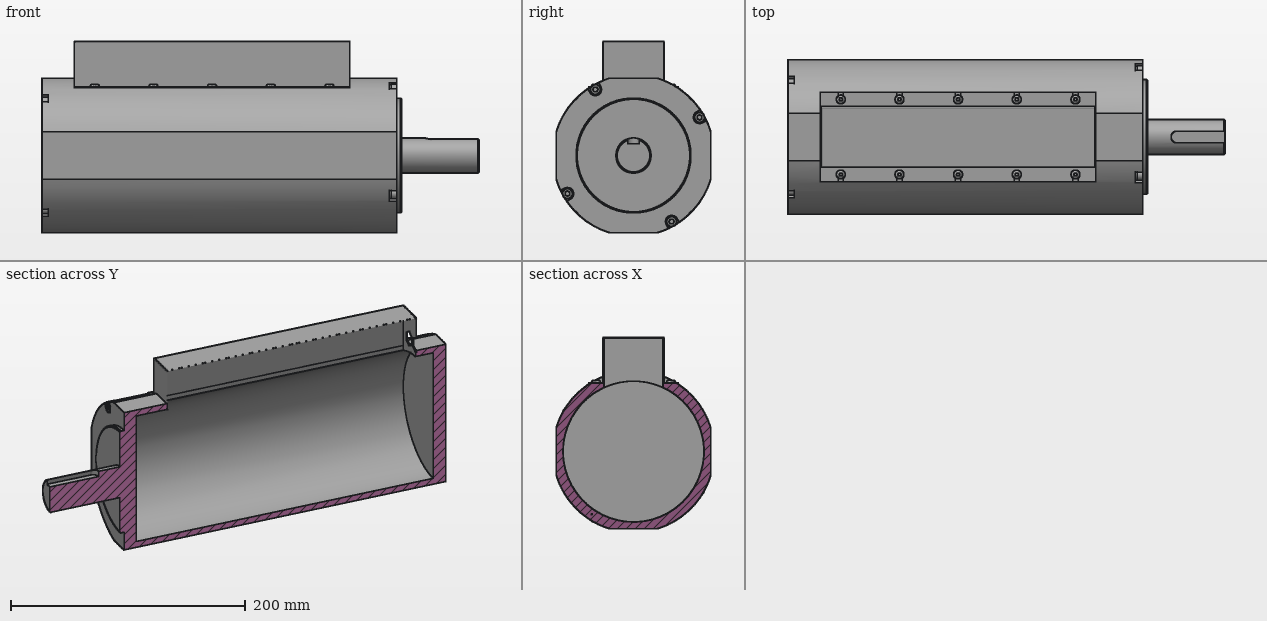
import cadquery as cq
import math

body_length = 302.5
body_radius = 69.0
flat_distance = 66.0
bore_radius = 60.0
end_wall = 12.0

spigot_diameter = 98.0
spigot_length = 4.0
spigot_chamfer = 1.0
shaft_diameter = 30.0
shaft_length = 70.0
shaft_chamfer = 1.0
key_width = 10.0
key_depth = 5.0
key_length = 46.0

box_start = 27.5
box_length = 235.0
box_center = box_start + box_length / 2
box_width = 52.0
box_height = 40.0
box_fillet = 1.2
flange_width = 76.0
sheet_thickness = 1.0
seat_level = math.sqrt(body_radius**2 - (flange_width / 2) ** 2)

cable_hole_flats = 12.0
cable_hole_pitch = 13.0
cable_hole_level = 71.2
cable_hole_count = 3

flange_screw_count = 5
flange_screw_pitch = 50.0
flange_screw_offset = (box_width + flange_width) / 4
flange_slot_width = 4.5
button_diameter = 7.6
button_height = 2.2
button_top_diameter = 4.0
button_shoulder_diameter = 6.9
button_shoulder_height = 1.4
button_socket = 2.5
button_socket_depth = 1.3
flange_screw_shank_diameter = 4.0

screw_circle_radius = 65.0
rear_screw_angle = 45.0
front_screw_angle = 30.0
screws_per_end = 4
rear_screw = dict(
    pocket_width=8.5,
    head_diameter=7.0,
    head_height=4.0,
    washer_diameter=7.0,
    washer_thickness=1.2,
    socket=3.0,
)
front_screw = dict(
    pocket_width=10.5,
    head_diameter=8.5,
    head_height=5.0,
    washer_diameter=8.38,
    washer_thickness=1.6,
    socket=4.0,
)

HEX_CORNER_RATIO = 2 / math.sqrt(3)


def make_body():
    cylinder = cq.Workplane("YZ").circle(body_radius).extrude(body_length)
    flats = cq.Workplane("YZ").rect(2 * flat_distance, 2 * flat_distance).extrude(body_length)
    return cylinder.intersect(flats)


def make_shaft():
    spigot = (
        cq.Workplane("YZ", origin=(body_length, 0, 0))
        .circle(spigot_diameter / 2)
        .extrude(spigot_length)
        .faces(">X")
        .chamfer(spigot_chamfer)
    )
    shaft = (
        cq.Workplane("YZ", origin=(body_length, 0, 0))
        .circle(shaft_diameter / 2)
        .extrude(shaft_length)
        .faces(">X")
        .chamfer(shaft_chamfer)
    )
    slot_length = key_length + key_width
    slot_center = body_length + shaft_length - key_length + slot_length / 2
    keyway = (
        cq.Workplane("XY", origin=(slot_center, 0, shaft_diameter / 2 - key_depth))
        .slot2D(slot_length, key_width)
        .extrude(shaft_diameter)
    )
    return spigot.union(shaft.cut(keyway))


def make_seat_cut():
    foot = cq.Workplane("XY", origin=(box_center, 0, seat_level))
    return foot.rect(box_length, flange_width).extrude(body_radius)


def make_bore():
    return cq.Workplane("YZ", origin=(end_wall, 0, 0)).circle(bore_radius).extrude(body_length - 2 * end_wall)


def make_box_cavity():
    """Inside of the box, continued down through the body wall into the bore."""
    inner_length = box_length - 2 * sheet_thickness
    inner_width = box_width - 2 * sheet_thickness
    inner_top = seat_level + box_height - sheet_thickness
    axis_plane = cq.Workplane("XY", origin=(box_center, 0, 0))
    return axis_plane.rect(inner_length, inner_width).extrude(inner_top)


def make_terminal_box():
    foot = cq.Workplane("XY", origin=(box_center, 0, seat_level))
    flange = foot.rect(box_length, flange_width).extrude(sheet_thickness)
    for side in (-1, 1):
        slot_length = flange_width / 2
        slot_y = side * (flange_screw_offset - flange_slot_width / 2 + slot_length / 2)
        slots = (
            foot.center(0, slot_y)
            .rarray(flange_screw_pitch, 1, flange_screw_count, 1)
            .slot2D(slot_length, flange_slot_width, 90)
            .extrude(sheet_thickness)
        )
        flange = flange.cut(slots)
    box = foot.rect(box_length, box_width).extrude(box_height).edges(">Z").fillet(box_fillet)
    cable_holes = (
        cq.Workplane("YZ", origin=(box_start, 0, cable_hole_level))
        .transformed(rotate=(0, 0, 90))
        .rarray(1, cable_hole_pitch, 1, cable_hole_count)
        .polygon(6, cable_hole_flats * HEX_CORNER_RATIO)
        .extrude(sheet_thickness)
    )
    return flange.union(box.cut(cable_holes))


def make_flange_screw():
    """Button-head screw standing on z = 0, the seat level."""
    base = sheet_thickness
    top = base + button_height
    profile = (
        cq.Workplane("XZ")
        .lineTo(flange_screw_shank_diameter / 2, 0)
        .lineTo(flange_screw_shank_diameter / 2, base)
        .lineTo(button_diameter / 2, base)
        .threePointArc(
            (button_shoulder_diameter / 2, base + button_shoulder_height),
            (button_top_diameter / 2, top),
        )
        .lineTo(0, top)
        .close()
    )
    screw = profile.revolve(360, (0, 0, 0), (0, 1, 0))
    socket = (
        cq.Workplane("XY", origin=(0, 0, top))
        .polygon(6, button_socket * HEX_CORNER_RATIO)
        .extrude(-button_socket_depth)
    )
    return screw.cut(socket)


def add_flange_screws(part):
    screw = make_flange_screw()
    middle = (flange_screw_count - 1) / 2
    for index in range(flange_screw_count):
        x = box_center + (index - middle) * flange_screw_pitch
        for y in (-flange_screw_offset, flange_screw_offset):
            part = part.union(screw.translate((x, y, seat_level)))
    return part


def make_end_screw(pocket_width, head_diameter, head_height, washer_diameter, washer_thickness, socket):
    """Pocket and screw on the +Y side of the screw circle, sunk from x = 0 towards +X."""
    depth = head_height + washer_thickness
    center = cq.Workplane("YZ", origin=(0, screw_circle_radius, 0))
    slot_length = body_radius
    pocket = (
        center.center((slot_length - pocket_width) / 2, 0)
        .slot2D(slot_length, pocket_width)
        .extrude(depth)
    )
    head = center.circle(head_diameter / 2).extrude(head_height)
    socket_cut = center.polygon(6, socket * HEX_CORNER_RATIO).extrude(head_height / 2)
    washer = (
        center.workplane(offset=head_height).circle(washer_diameter / 2).extrude(washer_thickness)
    )
    return pocket, head.cut(socket_cut).union(washer)


def add_end_screws(part, pocket, screw, first_angle):
    for index in range(screws_per_end):
        angle = first_angle + index * 360 / screws_per_end
        part = part.cut(pocket.rotate((0, 0, 0), (1, 0, 0), angle))
        part = part.union(screw.rotate((0, 0, 0), (1, 0, 0), angle))
    return part


def add_rear_screws(part):
    pocket, screw = make_end_screw(**rear_screw)
    return add_end_screws(part, pocket, screw, rear_screw_angle)


def add_front_screws(part):
    to_front = [shape.mirror("YZ").translate((body_length, 0, 0)) for shape in make_end_screw(**front_screw)]
    return add_end_screws(part, *to_front, front_screw_angle)


result = make_body().union(make_shaft())
result = result.cut(make_seat_cut()).union(make_terminal_box())
result = result.cut(make_bore()).cut(make_box_cavity())
result = add_flange_screws(result)
result = add_rear_screws(result)
result = add_front_screws(result)